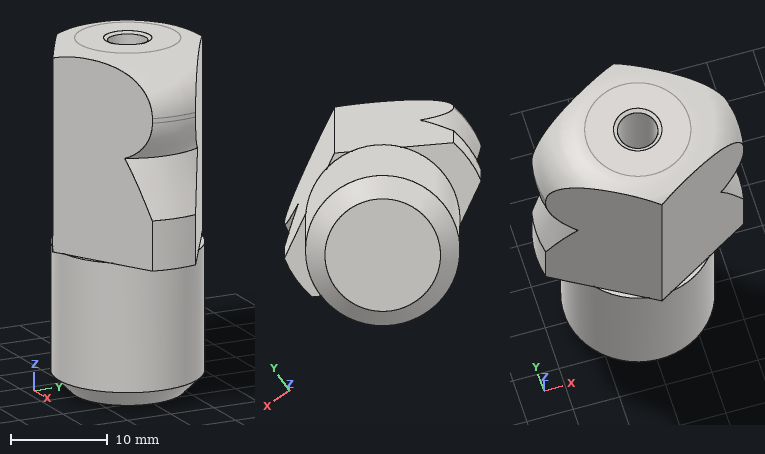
import cadquery as cq
import math

total_height = 38
head_diameter = 22.0
head_radius = head_diameter / 2
across_corners = 17.35
flat_angle = 30

shank_diameter = 16.0
shank_radius = shank_diameter / 2
shank_length = 16.0
shank_chamfer = 2.0

head_roundness = head_radius / 2
band_height = 0.5
neck_radius = 8.8
collar_height = 5.45

hole_radius = 2.1
hole_depth = 10.0
hole_tip_angle = 118
countersink_radius = 2.5
countersink_angle = 120
countersink_depth = (countersink_radius - hole_radius) / math.tan(math.radians(countersink_angle / 2))


def make_shank():
    shank = cq.Workplane("XY").circle(shank_radius).extrude(shank_length)
    return shank.faces("<Z").chamfer(shank_chamfer)


def make_turned_head():
    """Revolve the head outline: collar, cone up to the neck, then the bulging top."""
    collar_top = shank_length + collar_height
    rounding_center_radius = head_radius - head_roundness
    band_top = total_height - head_roundness
    band_bottom = band_top - band_height

    neck_arc_angle = math.acos((neck_radius - rounding_center_radius) / head_roundness)
    neck_z = band_bottom - head_roundness * math.sin(neck_arc_angle)

    def on_rounding(center_z, angle):
        """Point on a rounding at an angle in radians above the horizontal."""
        return (
            rounding_center_radius + head_roundness * math.cos(angle),
            center_z + head_roundness * math.sin(angle),
        )

    return (
        cq.Workplane("XZ")
        .moveTo(0, shank_length)
        .lineTo(head_radius, shank_length)
        .lineTo(head_radius, collar_top)
        .lineTo(neck_radius, neck_z)
        .threePointArc(on_rounding(band_bottom, -neck_arc_angle / 2), (head_radius, band_bottom))
        .lineTo(head_radius, band_top)
        .threePointArc(on_rounding(band_top, math.pi / 4), (rounding_center_radius, total_height))
        .lineTo(0, total_height)
        .close()
        .revolve(360, (0, 0), (0, 1))
    )


def make_diamond_prism():
    """Rhombic prism whose sides are the four flats of the head."""
    half_width = across_corners / 2
    half_length = half_width / math.tan(math.radians(flat_angle))
    corners = [(half_length, 0), (0, half_width), (-half_length, 0), (0, -half_width)]
    return cq.Workplane("XY").polyline(corners).close().extrude(total_height)


def make_hole():
    """Countersunk blind hole with a conical drill tip."""
    hole_bottom = total_height - hole_depth
    tip_depth = hole_radius / math.tan(math.radians(hole_tip_angle / 2))
    outline = [
        (0, total_height),
        (countersink_radius, total_height),
        (hole_radius, total_height - countersink_depth),
        (hole_radius, hole_bottom),
        (0, hole_bottom - tip_depth),
    ]
    return cq.Workplane("XZ").polyline(outline).close().revolve(360, (0, 0), (0, 1))


head = make_turned_head().intersect(make_diamond_prism())
result = make_shank().union(head).cut(make_hole())